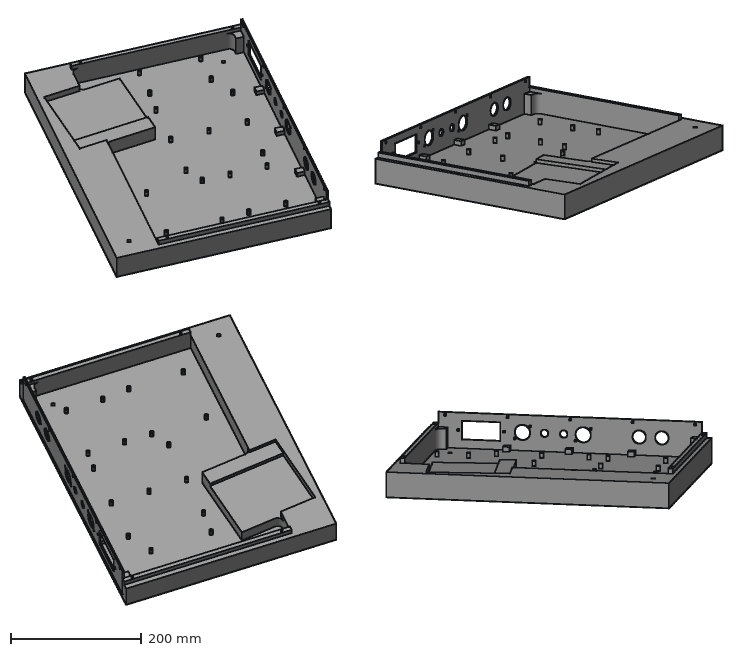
import cadquery as cq
import math

CASE_WIDTH = 442.0
CASE_DEPTH = 347.5
CASE_HEIGHT = 40.0
FLOOR_TOP = 9.0
SIDE_WALL = 15.0
FRONT_DECK = 70.5
BAY_RADIUS = 9.0

HALF_WIDTH = CASE_WIDTH / 2
REAR_Y = CASE_DEPTH / 2
BAY_HALF_WIDTH = HALF_WIDTH - SIDE_WALL
BAY_FRONT_Y = FRONT_DECK - REAR_Y

RAIL_WIDTH = 7.0
RAIL_HEIGHT = 8.0
RAIL_HOLE_DIAMETER = 3.2
RAIL_HOLE_YS = (-88.0, 158.5)
RAIL_TOP = CASE_HEIGHT + RAIL_HEIGHT
RAIL_X = BAY_HALF_WIDTH + RAIL_WIDTH / 2

OVERALL_HEIGHT = 64.5
PANEL_THICKNESS = 2.5
PANEL_FRONT_Y = REAR_Y - PANEL_THICKNESS
CONNECTOR_Z = 37.0

SCREW_PITCH = 97.5
SCREW_HOLE_DIAMETER = 3.5
SCREW_EDGE_DISTANCE = 4.5
SCREW_Z = OVERALL_HEIGHT - SCREW_EDGE_DISTANCE

INLET_X = -139.2
INLET_WIDTH = 60.0
INLET_HEIGHT = 29.0
INLET_SCREW_SPACING = 71.5
INLET_SCREW_DIAMETER = 3.5

LARGE_SOCKET_XS = (-74.5, 20.5)
LARGE_SOCKET_DIAMETER = 24.0
SOCKET_SCREW_DX = 12.0
SOCKET_SCREW_DZ = 9.7
SOCKET_SCREW_DIAMETER = 3.2

MEDIUM_SOCKET_XS = (108.0, 143.0)
MEDIUM_SOCKET_DIAMETER = 20.8

SMALL_SOCKET_XS = (-40.2, -10.0)
SMALL_SOCKET_DIAMETER = 11.5

SUPPORT_DEPTH = 13.0
SUPPORT_FRONT_Y = PANEL_FRONT_Y - SUPPORT_DEPTH
BLOCK_WIDTH = 10.0
BLOCK_TOP = FLOOR_TOP + 7.5
POST_WIDTH = 14.5
POST_TOP = 41.0

STANDOFF_DIAMETER = 5.7
STANDOFF_HOLE_DIAMETER = 2.5
STANDOFF_TOP = FLOOR_TOP + 8.0
STANDOFF_GRIDS = (
    ((-195.0, -145.5), (3.0, 102.5)),
    ((-106.0, -35.5, 38.5), (0.0, 124.0)),
    ((-35.5,), (62.0,)),
    ((69.0, 159.0), (61.0, 121.0)),
    ((68.0, 163.5), (-74.0, 16.5)),
)

FLOOR_HOLE_X = 180.8
FLOOR_HOLE_Y = 134.5
FLOOR_HOLE_DIAMETER = 5.7
DECK_HOLE_X = 190.5
DECK_HOLE_Y = -143.0
DECK_HOLE_DIAMETER = 5.7
DECK_HOLE_DEPTH = 9.0

PLATFORM_X = -104.0
PLATFORM_Y = -92.0
PLATFORM_TILT = 6.5
PLATFORM_WIDTH = 129.0
PLATFORM_DEPTH = 127.7
PLATFORM_TOP = 28.7
LEDGE_WIDTH = 25.5
LEDGE_TOP = 34.5


def box(x_range, y_range, z_range):
    sizes = [high - low for low, high in (x_range, y_range, z_range)]
    corner = (x_range[0], y_range[0], z_range[0])
    return cq.Workplane("XY").box(*sizes, centered=False).translate(corner)


def cylinders(points, diameter, z_range):
    base = cq.Workplane("XY").workplane(offset=z_range[0])
    return base.pushPoints(points).circle(diameter / 2).extrude(z_range[1] - z_range[0])


def grid(columns, rows):
    return [(x, y) for x in columns for y in rows]


def corner_fillet(corner, first_angle, second_angle, z_range):
    """Fills the corner between two walls that leave it at the given angles."""
    half_angle = math.radians(second_angle - first_angle) / 2
    middle_angle = (first_angle + second_angle) / 2
    tangent_length = BAY_RADIUS / math.tan(half_angle)
    arc_distance = BAY_RADIUS / math.sin(half_angle) - BAY_RADIUS

    def point(angle, distance):
        turn = math.radians(angle)
        return (corner[0] + distance * math.cos(turn), corner[1] + distance * math.sin(turn))

    outline = (
        cq.Workplane("XY").workplane(offset=z_range[0])
        .moveTo(*corner)
        .lineTo(*point(first_angle, tangent_length))
        .threePointArc(point(middle_angle, arc_distance), point(second_angle, tangent_length))
        .close()
    )
    return outline.extrude(z_range[1] - z_range[0])


def shell():
    bay_x = (-BAY_HALF_WIDTH, BAY_HALF_WIDTH)
    body = box((-HALF_WIDTH, HALF_WIDTH), (-REAR_Y, REAR_Y), (0, CASE_HEIGHT))
    body = body.cut(box(bay_x, (BAY_FRONT_Y, REAR_Y), (FLOOR_TOP, CASE_HEIGHT)))
    front_left = (-BAY_HALF_WIDTH, BAY_FRONT_Y)
    return body.union(corner_fillet(front_left, 0, 90, (FLOOR_TOP, CASE_HEIGHT)))


def rail(side):
    x = side * RAIL_X
    x_range = (x - RAIL_WIDTH / 2, x + RAIL_WIDTH / 2)
    return box(x_range, (BAY_FRONT_Y, REAR_Y), (CASE_HEIGHT, RAIL_TOP))


def block(x):
    x_range = (x - BLOCK_WIDTH / 2, x + BLOCK_WIDTH / 2)
    return box(x_range, (SUPPORT_FRONT_Y, PANEL_FRONT_Y), (FLOOR_TOP, BLOCK_TOP))


def left_post():
    z_range = (FLOOR_TOP, POST_TOP)
    x_range = (-BAY_HALF_WIDTH, POST_WIDTH - BAY_HALF_WIDTH)
    post = box(x_range, (SUPPORT_FRONT_Y, PANEL_FRONT_Y), z_range)
    return post.union(corner_fillet((-BAY_HALF_WIDTH, SUPPORT_FRONT_Y), 270, 360, z_range))


def platform_block(x_range, z_range):
    straight = box(x_range, (-PLATFORM_DEPTH / 2, PLATFORM_DEPTH / 2), z_range)
    tilted = straight.rotate((0, 0, 0), (0, 0, 1), PLATFORM_TILT)
    return tilted.translate((PLATFORM_X, PLATFORM_Y, 0))


def platform_corner(side):
    """Point where one side of the platform (-1 left, 1 right) meets the bay's front wall."""
    tilt = math.radians(PLATFORM_TILT)
    rise = BAY_FRONT_Y - PLATFORM_Y
    x = PLATFORM_X + side * PLATFORM_WIDTH / 2 / math.cos(tilt) - rise * math.tan(tilt)
    return (x, BAY_FRONT_Y)


def add_platform(body):
    left = -PLATFORM_WIDTH / 2
    right = PLATFORM_WIDTH / 2
    ledge_left = right - LEDGE_WIDTH
    side_angle = 90 + PLATFORM_TILT
    body = body.cut(platform_block((left, right), (FLOOR_TOP, CASE_HEIGHT)))
    body = body.union(platform_block((left, ledge_left), (FLOOR_TOP, PLATFORM_TOP)))
    body = body.union(platform_block((ledge_left, right), (FLOOR_TOP, LEDGE_TOP)))
    body = body.union(corner_fillet(platform_corner(-1), side_angle, 180, (FLOOR_TOP, PLATFORM_TOP)))
    return body.union(corner_fillet(platform_corner(1), 0, side_angle, (FLOOR_TOP, LEDGE_TOP)))


def add_standoffs(body):
    z_range = (FLOOR_TOP, STANDOFF_TOP)
    points = [point for columns, rows in STANDOFF_GRIDS for point in grid(columns, rows)]
    body = body.union(cylinders(points, STANDOFF_DIAMETER, z_range))
    return body.cut(cylinders(points, STANDOFF_HOLE_DIAMETER, z_range))


def cut_case_holes(body):
    floor_points = grid((-FLOOR_HOLE_X, FLOOR_HOLE_X), (FLOOR_HOLE_Y,))
    rail_points = grid((-RAIL_X, RAIL_X), RAIL_HOLE_YS)
    deck_points = [(DECK_HOLE_X, DECK_HOLE_Y)]
    deck_z_range = (CASE_HEIGHT - DECK_HOLE_DEPTH, CASE_HEIGHT)
    body = body.cut(cylinders(floor_points, FLOOR_HOLE_DIAMETER, (0, FLOOR_TOP)))
    body = body.cut(cylinders(rail_points, RAIL_HOLE_DIAMETER, (0, RAIL_TOP)))
    return body.cut(cylinders(deck_points, DECK_HOLE_DIAMETER, deck_z_range))


def make_case():
    body = shell()
    for side in (-1, 1):
        body = body.union(rail(side))
    for step in (-1, 0, 1):
        body = body.union(block(step * SCREW_PITCH))
    body = body.union(left_post())
    body = body.union(left_post().mirror("YZ"))
    body = add_platform(body)
    body = add_standoffs(body)
    return cut_case_holes(body)


def panel_holes(points, diameter):
    rear_face = cq.Workplane("XZ", origin=(0, REAR_Y, 0))
    return rear_face.pushPoints(points).circle(diameter / 2).extrude(PANEL_THICKNESS)


def inlet_opening():
    x_range = (INLET_X - INLET_WIDTH / 2, INLET_X + INLET_WIDTH / 2)
    z_range = (CONNECTOR_Z - INLET_HEIGHT / 2, CONNECTOR_Z + INLET_HEIGHT / 2)
    return box(x_range, (PANEL_FRONT_Y, REAR_Y), z_range)


def make_panel():
    y_range = (PANEL_FRONT_Y, REAR_Y)
    panel = box((-BAY_HALF_WIDTH, BAY_HALF_WIDTH), y_range, (FLOOR_TOP, OVERALL_HEIGHT))
    panel = panel.cut(inlet_opening())

    top_screws = [(step * SCREW_PITCH, SCREW_Z) for step in range(-2, 3)]
    inlet_screws = [(INLET_X + side * INLET_SCREW_SPACING / 2, CONNECTOR_Z) for side in (-1, 1)]
    socket_screws = [
        (x + side * SOCKET_SCREW_DX, CONNECTOR_Z + side * SOCKET_SCREW_DZ)
        for x in LARGE_SOCKET_XS
        for side in (-1, 1)
    ]
    hole_groups = (
        (top_screws, SCREW_HOLE_DIAMETER),
        (inlet_screws, INLET_SCREW_DIAMETER),
        (socket_screws, SOCKET_SCREW_DIAMETER),
        (grid(LARGE_SOCKET_XS, (CONNECTOR_Z,)), LARGE_SOCKET_DIAMETER),
        (grid(MEDIUM_SOCKET_XS, (CONNECTOR_Z,)), MEDIUM_SOCKET_DIAMETER),
        (grid(SMALL_SOCKET_XS, (CONNECTOR_Z,)), SMALL_SOCKET_DIAMETER),
    )
    for points, diameter in hole_groups:
        panel = panel.cut(panel_holes(points, diameter))
    return panel


case = make_case()
rear_panel = make_panel()
result = cq.Compound.makeCompound([case.solids().val(), rear_panel.solids().val()])